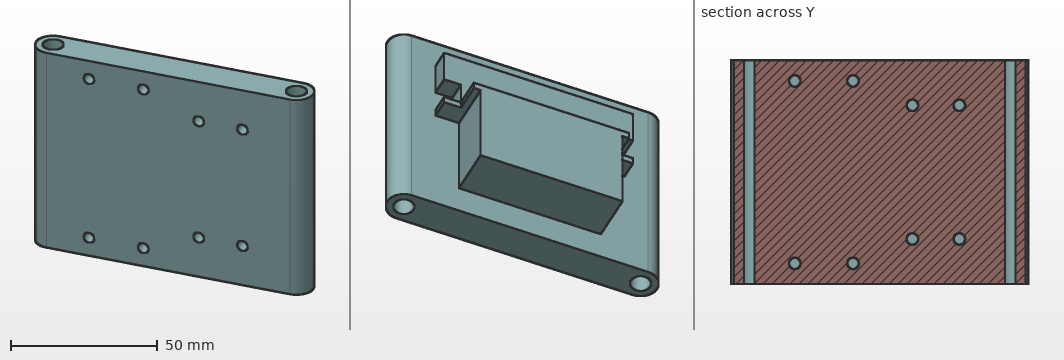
import cadquery as cq

length = 101.1
height = 76.2
thickness = 12.3
end_radius = thickness / 2
back_face = thickness / 2

bore_diameter = 7.2
bore_spacing = length - 2 * end_radius

hole_diameter = 3.8
hole_depth = thickness / 2
outer_hole_xs = (-28.9, -9.1)
outer_hole_z = 31.0
inner_hole_xs = (11.1, 27.1)
inner_hole_z = 22.7

low_depth = 7.1
tall_depth = 17.6
low_width = 70.8
tall_width = 58.2
wall_inset = 2.5
body_width = tall_width - 2 * wall_inset
upper_top = 27.2
upper_bottom = 14.6
shelf_top = 6.2
shelf_bottom = 3.6
body_bottom = -27.4


def back_block(width, depth, bottom, top):
    """Block centred in X that stands on the back face of the plate."""
    return (
        cq.Workplane("XY", origin=(0, back_face, bottom))
        .box(width, depth, top - bottom, centered=(True, False, False))
    )


def front_holes(xs, z):
    """Cutters for blind holes at each X, above and below the middle."""
    points = [(x, side * z) for x in xs for side in (-1, 1)]
    return (
        cq.Workplane("XZ", origin=(0, -thickness / 2, 0))
        .pushPoints(points)
        .circle(hole_diameter / 2)
        .extrude(-hole_depth)
    )


plate = (
    cq.Workplane("XY", origin=(0, 0, -height / 2))
    .slot2D(length, thickness)
    .extrude(height)
)
bores = (
    cq.Workplane("XY", origin=(0, 0, -height / 2))
    .pushPoints([(-bore_spacing / 2, 0), (bore_spacing / 2, 0)])
    .circle(bore_diameter / 2)
    .extrude(height)
)

upper_bar = back_block(low_width, low_depth, upper_bottom, upper_top)
neck = back_block(tall_width, low_depth, shelf_top, upper_bottom)
shelf_foot = back_block(low_width, low_depth, shelf_bottom, shelf_top)
shelf = back_block(tall_width, tall_depth, shelf_bottom, shelf_top)
body = back_block(body_width, tall_depth, body_bottom, shelf_bottom)

result = plate
for block in (upper_bar, neck, shelf_foot, shelf, body):
    result = result.union(block)

result = result.cut(bores)
result = result.cut(front_holes(outer_hole_xs, outer_hole_z))
result = result.cut(front_holes(inner_hole_xs, inner_hole_z))